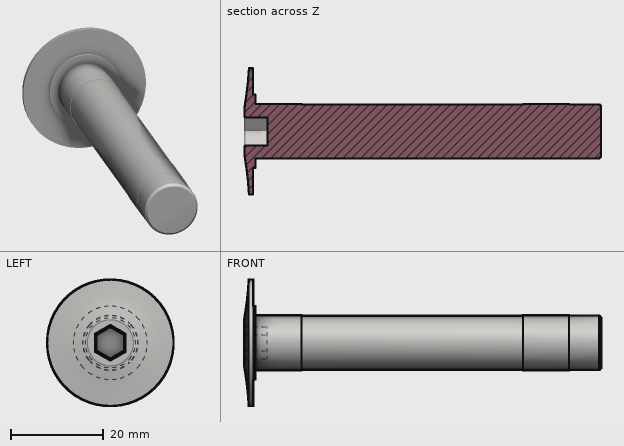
import cadquery as cq
import math

rim_front = 1.0
rim_back = 2.0
collar_end = 2.5
neck_length = 10.0
barrel_end = 60.5
band_length = 10.0
total_length = 77.5
tip_chamfer = 0.5

face_diameter = 10.0
head_diameter = 27.5
collar_diameter = 16.0
nominal_diameter = 12.0
barrel_diameter = 11.8
tip_diameter = 11.87

flare_sag = 0.12

socket_flats = 6.0
socket_lead_in = 0.3
lead_in_angle = 45.0
socket_depth = 5.0


def cylinder(start, end, diameter):
    """Solid cylinder on the X axis between two axial positions."""
    return cq.Workplane("YZ", origin=(start, 0, 0)).circle(diameter / 2).extrude(end - start)


def make_head():
    """Flanged head whose front flares from a flat face out to a thin rim."""
    face_radius = face_diameter / 2
    head_radius = head_diameter / 2
    flare_middle = (rim_front / 2 + flare_sag, (face_radius + head_radius) / 2)
    profile = (
        cq.Workplane("XY")
        .lineTo(0, face_radius)
        .threePointArc(flare_middle, (rim_front, head_radius))
        .lineTo(rim_back, head_radius)
        .lineTo(rim_back, 0)
        .close()
    )
    head = profile.revolve(360, (0, 0, 0), (1, 0, 0))
    return head.union(cylinder(rim_back, collar_end, collar_diameter))


def make_shank():
    """Stepped shank: neck, slimmer barrel, full-size band and chamfered tip."""
    neck_end = collar_end + neck_length
    band_end = barrel_end + band_length
    tip = cylinder(band_end, total_length, tip_diameter).faces(">X").chamfer(tip_chamfer)
    return (
        cylinder(collar_end, neck_end, nominal_diameter)
        .union(cylinder(neck_end, barrel_end, barrel_diameter))
        .union(cylinder(barrel_end, band_end, nominal_diameter))
        .union(tip)
    )


def hexagon(flats):
    """Hexagon on the front face of the head, with two corners on the Z axis."""
    across_corners = flats / math.cos(math.pi / 6)
    plane = cq.Plane(origin=(0, 0, 0), xDir=(0, 0, 1), normal=(1, 0, 0))
    return cq.Workplane(plane).polygon(6, across_corners)


def make_socket():
    """Hexagon socket with a tapered lead-in at its mouth."""
    bore = hexagon(socket_flats).extrude(socket_depth)
    mouth_flats = socket_flats + 2 * socket_lead_in * math.tan(math.radians(lead_in_angle))
    lead_in = hexagon(mouth_flats).extrude(socket_lead_in, taper=lead_in_angle)
    return bore.union(lead_in)


result = make_head().union(make_shank()).cut(make_socket())